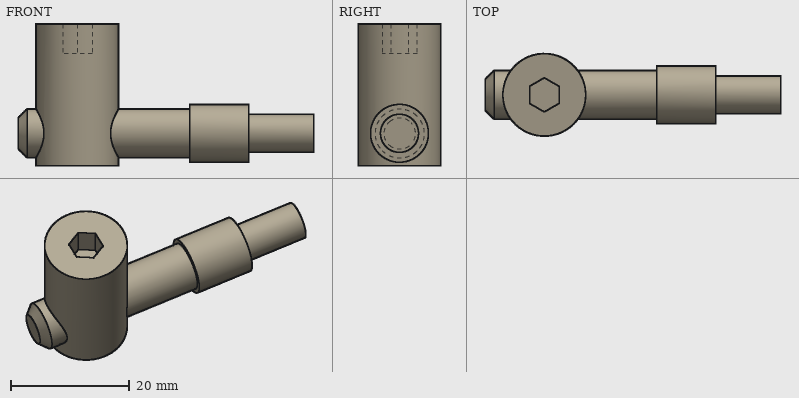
import cadquery as cq

post_diameter = 14.0
post_height = 24.0

socket_across_flats = 5.0
socket_depth = 5.0
socket_corner_diameter = socket_across_flats / (3**0.5 / 2)

pin_axis_height = 5.5
pin_length = 50.0
pin_overhang = 10.0
rod_diameter = 8.3
rod_chamfer = 1.5
rod_length = 29.0
collar_diameter = 9.8
collar_length = 10.0
tip_diameter = 6.45
tip_length = pin_length - rod_length - collar_length


def make_post():
    """Plain cylinder with a hexagon socket, two corners pointing along Y."""
    post = cq.Workplane("XY").circle(post_diameter / 2).extrude(post_height)
    socket = (
        cq.Workplane("XY", origin=(0, 0, post_height))
        .transformed(rotate=(0, 0, 90))
        .polygon(6, socket_corner_diameter)
        .extrude(-socket_depth)
    )
    return post.cut(socket)


def make_pin():
    """Chamfered rod, wider collar and narrower tip in one line along X."""
    return (
        cq.Workplane("YZ", origin=(-pin_overhang, 0, pin_axis_height))
        .circle(rod_diameter / 2)
        .extrude(rod_length)
        .faces("<X")
        .chamfer(rod_chamfer)
        .faces(">X")
        .workplane()
        .circle(collar_diameter / 2)
        .extrude(collar_length)
        .faces(">X")
        .workplane()
        .circle(tip_diameter / 2)
        .extrude(tip_length)
    )


result = make_post().union(make_pin())